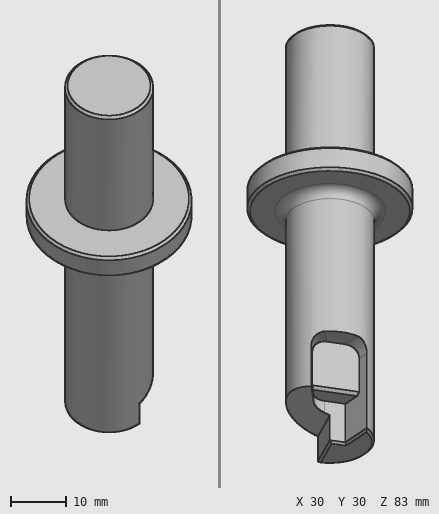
import cadquery as cq
import math

total_height = 83.0
shaft_diameter = 16.0
shaft_radius = shaft_diameter / 2
flange_diameter = 30.0
flange_bottom = 48.4
flange_thickness = 5.0
edge_chamfer = 0.5
flange_fillet = 2.0

step_inner_height = 5.65
step_outer_height = 8.5
tip_chamfer = 0.4

slot_top = 18.6
slot_floor_x = 0.0
slot_floor_half_width = 2.9
slot_wall_angle = 21.0
slot_corner_radius = 2.5
slot_floor_fillet = 2.7

insert_face_x = -3.9
insert_bottom = 8.5
insert_chamfer = 0.6

overrun = 0.8


def make_shaft():
    """Round shaft with its flange, the flange blended into the shaft underneath."""
    shaft = (
        cq.Workplane("XY")
        .circle(shaft_radius)
        .extrude(total_height)
        .faces(">Z")
        .chamfer(edge_chamfer)
    )
    flange = (
        cq.Workplane("XY", origin=(0, 0, flange_bottom))
        .circle(flange_diameter / 2)
        .extrude(flange_thickness)
        .edges()
        .chamfer(edge_chamfer)
    )
    pin_blank = shaft.union(flange)
    underside = cq.selectors.BoxSelector(
        (-flange_diameter, -flange_diameter, flange_bottom - overrun),
        (flange_diameter, flange_diameter, flange_bottom + overrun),
    )
    shaft_edge = cq.selectors.RadiusNthSelector(0)
    return pin_blank.edges(underside).edges(shaft_edge).fillet(flange_fillet)


def make_step_cutter():
    """Wedge-topped block that removes the +Y half of the tip."""
    slope = (step_outer_height - step_inner_height) / shaft_radius
    outer_y = shaft_radius + overrun
    return (
        cq.Workplane("YZ")
        .moveTo(0, -overrun)
        .lineTo(outer_y, -overrun)
        .lineTo(outer_y, step_inner_height + slope * outer_y)
        .lineTo(0, step_inner_height)
        .close()
        .extrude(shaft_radius + overrun, both=True)
    )


def make_slot_shape(open_x, bottom):
    """Tapered prism from the slot floor out to open_x, from bottom up to the slot top."""
    taper = math.tan(math.radians(slot_wall_angle))
    open_half_width = slot_floor_half_width + (slot_floor_x - open_x) * taper
    prism = (
        cq.Workplane("XY", origin=(0, 0, bottom))
        .moveTo(slot_floor_x, -slot_floor_half_width)
        .lineTo(slot_floor_x, slot_floor_half_width)
        .lineTo(open_x, open_half_width)
        .lineTo(open_x, -open_half_width)
        .close()
        .extrude(slot_top - bottom)
    )
    rounded_top = prism.faces(">Z").edges("not |Y").fillet(slot_corner_radius)
    rounded_floor = prism.edges("|Z").edges(">X").edges(">Y").fillet(slot_floor_fillet)
    return rounded_top.intersect(rounded_floor)


def make_pin():
    """Flanged pin with the stepped tip, the slot and a chamfered lower end."""
    slot = make_slot_shape(-shaft_radius - overrun, -overrun)
    pin = make_shaft().cut(make_step_cutter()).cut(slot)
    return pin.faces("<Z").chamfer(tip_chamfer)


def make_insert():
    """Block filling the slot behind insert_face_x, chamfered at its lower front edge."""
    block = make_slot_shape(insert_face_x, insert_bottom)
    return block.faces("<Z").edges("<X").chamfer(insert_chamfer)


pin = make_pin()
insert = make_insert()

result = cq.Compound.makeCompound([pin.val(), insert.val()])